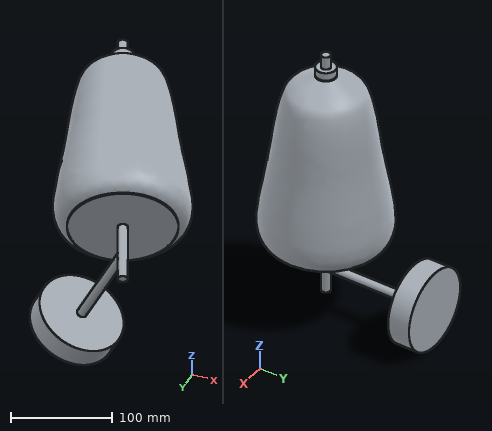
import cadquery as cq


plate_diameter = 90.0
plate_thickness = 25.0
wall_y = 129.5
rod_diameter = 10.0
total_height = 305.5
stem_bottom_z = -30.0
stem_top_z = total_height - plate_diameter / 2

collar_radius = 11.0
collar_top_z = 245.7
collar_bottom_z = 236.5

neck_lip_height = 1.0
neck_bottom_z = collar_bottom_z - neck_lip_height
bell_points = [
    (33.5, 222.7),
    (41.0, 215.7),
    (45.0, 206.0),
    (56.8, 137.5),
    (68.0, 70.3),
    (68.5, 52.0),
    (62.5, 39.0),
]
rim_radius = 55.0
rim_height = 1.5
shade_bottom_z = 34.0
rim_top_z = shade_bottom_z + rim_height


def make_mount():
    """Wall plate with an arm that meets the upright stem in a T joint."""
    plate = (
        cq.Workplane("XZ", origin=(0, wall_y, 0))
        .circle(plate_diameter / 2)
        .extrude(plate_thickness)
    )
    arm = (
        cq.Workplane("XZ", origin=(0, wall_y, 0))
        .circle(rod_diameter / 2)
        .extrude(wall_y)
    )
    stem = (
        cq.Workplane("XY", origin=(0, 0, stem_bottom_z))
        .circle(rod_diameter / 2)
        .extrude(stem_top_z - stem_bottom_z)
    )
    return plate.union(arm).union(stem)


def make_collar():
    """Ring around the stem, resting on the neck of the shade."""
    return (
        cq.Workplane("XY", origin=(0, 0, collar_bottom_z))
        .circle(collar_radius)
        .circle(rod_diameter / 2)
        .extrude(collar_top_z - collar_bottom_z)
    )


def make_shade():
    """Bell-shaped shade with a rounded shoulder and belly, bored for the stem."""
    bore_radius = rod_diameter / 2
    return (
        cq.Workplane("XZ")
        .moveTo(bore_radius, collar_bottom_z)
        .lineTo(collar_radius, collar_bottom_z)
        .lineTo(collar_radius, neck_bottom_z)
        .spline(bell_points + [(rim_radius, rim_top_z)], includeCurrent=True)
        .lineTo(rim_radius, shade_bottom_z)
        .lineTo(bore_radius, shade_bottom_z)
        .close()
        .revolve(360, (0, 0, 0), (0, 1, 0))
    )


mount = make_mount()
collar = make_collar()
shade = make_shade()

result = cq.Compound.makeCompound([mount.val(), collar.val(), shade.val()])